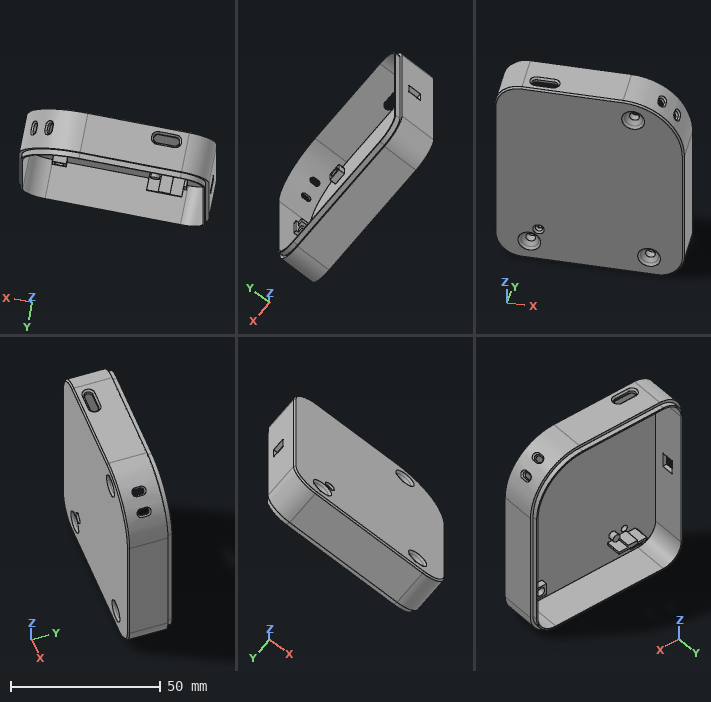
import cadquery as cq
import math

width = 65.0
depth = 16.1
height = 75.0

corner_radius = 9.4
large_corner_radius = 21.0
face_chamfer = 0.6
wall = 1.7
floor = 2.5
lip_height = 1.9
lip_inset = 1.1

screw_side_margin = 12.0
screw_end_margin = 7.7
upper_screw_x = 47.55
screw_positions = [
    (screw_side_margin, screw_end_margin),
    (width - screw_side_margin, screw_end_margin),
    (upper_screw_x, height - screw_end_margin),
]
screw_hole_radius = 1.65
screw_sink_radius = 3.1
screw_mouth_radius = 3.9
screw_sink_depth = 1.3
boss_width = 4.8
boss_top = 4.9

access_position = (15.15, 13.5)
access_hole_radius = 1.3
access_mouth_radius = 1.95

connector_x = 16.4
connector_y = 4.35
connector_length = 8.9
connector_width = 3.1
connector_chamfer = 0.7

corner_slot_angles = (35, 55)
corner_slot_y = 7.1
corner_slot_length = 3.75
corner_slot_width = 2.0
corner_slot_chamfer = 0.6

window_y = 8.8
window_z = 39.5
window_depth = 4.95
window_height = 5.8

rest_length = 9.0
rest_projection = 3.0
rest_top = 8.6
notch_length = 3.75
notch_bottom = 6.4
ledge_projection = 1.1
ledge_top = 9.6

stop_length = 12.0
stop_z = 10.2
stop_thickness = 0.9
rib_width = 4.05
rib_projection = 0.9

post_radius = 1.5
post_x = 20.3
post_z = 13.5
post_top = 4.7

overlap = 0.75


def outline_prism(inset, y_start, y_end):
    """Body outline shrunk by inset, extruded from y_start to y_end."""
    blank = block((inset, width - inset), (y_start, y_end), (inset, height - inset))
    blank = blank.edges("|Y and >X").edges(">Z").fillet(large_corner_radius - inset)
    blank = blank.edges("|Y and <X").fillet(corner_radius - inset)
    return blank.edges("|Y and >X").edges("<Z").fillet(corner_radius - inset)


def block(x_range, y_range, z_range):
    """Axis-aligned block from its lower and upper limits."""
    low, high = zip(x_range, y_range, z_range)
    size = [b - a for a, b in zip(low, high)]
    return cq.Workplane("XY").box(*size, centered=False).translate(low)


def floor_hole(position, profile):
    """Turned cutter along +Y at an (X, Z) position, from (radius, Y) profile points."""
    x, z = position
    end_y = profile[-1][1]
    return (
        cq.Workplane("XY")
        .polyline([(0, 0)] + profile + [(0, end_y)])
        .close()
        .revolve(360, (0, 0), (0, 1))
        .translate((x, 0, z))
    )


def flared_slot(mouth, length, slot_width, chamfer):
    """Slot cutter going inward from the mouth plane, with a chamfered mouth."""
    wide = (length + 2 * chamfer, slot_width + 2 * chamfer)
    passage = cq.Workplane(mouth).slot2D(length, slot_width).extrude(-wall - overlap)
    flare = cq.Workplane(mouth).slot2D(*wide).extrude(-chamfer, taper=45)
    entry = cq.Workplane(mouth).slot2D(*wide).extrude(overlap)
    return passage.union(flare).union(entry)


def make_shell():
    """Hollow body, closed at Y = 0, with a stepped lip around the open side."""
    shoulder = depth - lip_height
    body = outline_prism(0, 0, shoulder).faces("<Y").chamfer(face_chamfer)
    lip = outline_prism(lip_inset, shoulder - overlap, depth)
    cavity = outline_prism(wall, floor, depth + overlap)
    return body.union(lip).cut(cavity)


def make_rest():
    """Notched block with a taller ledge behind it, on the +X wall."""
    inner_x = width - wall
    z_range = (window_z - rest_length / 2, window_z + rest_length / 2)
    notch_z = (window_z - notch_length / 2, window_z + notch_length / 2)
    front_x = inner_x - rest_projection
    ledge_x = inner_x - ledge_projection
    rest = block((front_x, inner_x + overlap), (floor - overlap, rest_top), z_range)
    notch = block((front_x - overlap, ledge_x), (notch_bottom, depth), notch_z)
    ledge = block((ledge_x, inner_x + overlap), (floor - overlap, ledge_top), z_range)
    return rest.cut(notch).union(ledge)


def make_stop():
    """Upright wall on the floor facing the connector slot, with a central rib on its +Z face."""
    y_range = (floor - overlap, rest_top)
    plate = block(
        (connector_x - stop_length / 2, connector_x + stop_length / 2),
        y_range,
        (stop_z, stop_z + stop_thickness),
    )
    rib = block(
        (connector_x - rib_width / 2, connector_x + rib_width / 2),
        y_range,
        (stop_z, stop_z + stop_thickness + rib_projection),
    )
    return plate.union(rib)


def make_boss(position):
    """Square boss on the floor behind a screw hole."""
    x, z = position
    half = boss_width / 2
    return block((x - half, x + half), (floor - overlap, boss_top), (z - half, z + half))


def make_post():
    """Blind round post standing on the floor beside the access hole."""
    base = cq.Plane((post_x, floor - overlap, post_z), (1, 0, 0), (0, 1, 0))
    return cq.Workplane(base).circle(post_radius).extrude(post_top - floor + overlap)


def screw_cutter(position):
    """Chamfered mouth, conical seat and through hole."""
    seat_start = screw_mouth_radius - screw_sink_radius
    seat_end = seat_start + screw_sink_depth
    return floor_hole(position, [
        (screw_mouth_radius, 0),
        (screw_sink_radius, seat_start),
        (screw_hole_radius, seat_end),
        (screw_hole_radius, boss_top + overlap),
    ])


def access_cutter():
    """Small through hole with a 45 degree mouth."""
    return floor_hole(access_position, [
        (access_mouth_radius, 0),
        (access_hole_radius, access_mouth_radius - access_hole_radius),
        (access_hole_radius, floor + overlap),
    ])


def connector_cutter():
    """Long slot through the top wall."""
    mouth = cq.Plane((connector_x, connector_y, height), (1, 0, 0), (0, 0, 1))
    return flared_slot(mouth, connector_length, connector_width, connector_chamfer)


def corner_slot_cutter(angle):
    """Radial slot through the large corner, its long side along Y."""
    across = math.sin(math.radians(angle))
    up = math.cos(math.radians(angle))
    origin = (
        width - large_corner_radius * (1 - across),
        corner_slot_y,
        height - large_corner_radius * (1 - up),
    )
    mouth = cq.Plane(origin, (0, 1, 0), (across, 0, up))
    return flared_slot(mouth, corner_slot_length, corner_slot_width, corner_slot_chamfer)


def window_cutter():
    """Rectangular opening through the -X wall."""
    return block(
        (-overlap, wall + overlap),
        (window_y - window_depth / 2, window_y + window_depth / 2),
        (window_z - window_height / 2, window_z + window_height / 2),
    )


result = make_shell().union(make_rest()).union(make_stop()).union(make_post())
for screw_position in screw_positions:
    result = result.union(make_boss(screw_position))
    result = result.cut(screw_cutter(screw_position))
result = result.cut(access_cutter()).cut(connector_cutter()).cut(window_cutter())
for slot_angle in corner_slot_angles:
    result = result.cut(corner_slot_cutter(slot_angle))